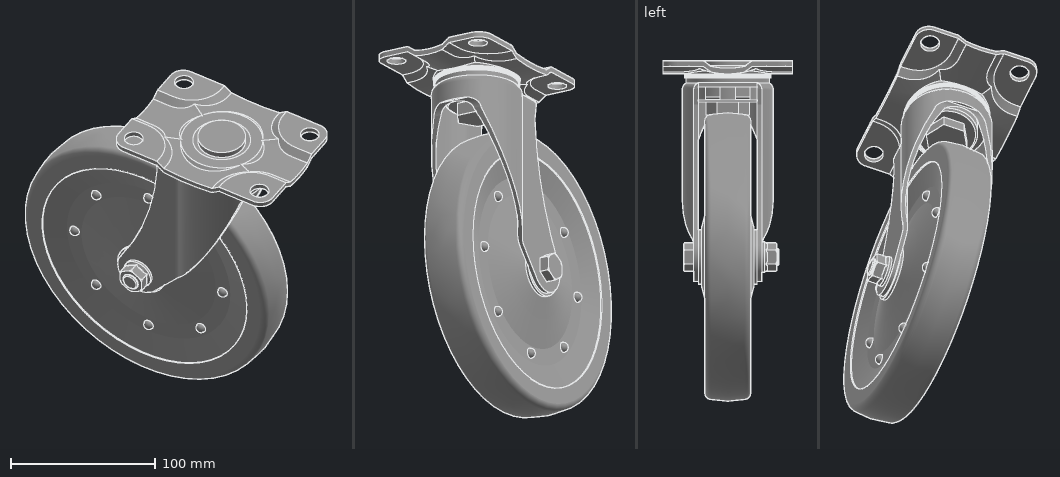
import cadquery as cq
import math

swivel_offset = 53.0
plate_top = 136.0

wheel_radius = 100.0
wheel_half_width = 16.0
tread_edge_radius = 98.8
tread_half_width = 11.7
side_outer_radius = 94.4
rim_radius = 83.0
rim_step = 0.9
web_outer_radius = 66.3
web_inner_radius = 54.5
web_half_width = 10.0
cone_radius = 34.4
cone_half_width = 14.7
shoulder_bulge = 0.8
hub_base_radius = 20.0
hub_base_half_width = 18.3
hub_radius = 19.0
rivet_count = 8
rivet_circle_radius = 60.0
rivet_radius = 3.6

leg_inner = 20.4
fork_wall = 3.2
leg_outer = leg_inner + fork_wall
shell_radius = 31.6
bend_radius = 7.0
leg_end_radius = 17.0
leg_rear_angle = 154.0
leg_front_angle = -43.0
leg_rear_curve_middle = (8.6, 64.0)
leg_rear_curve_top = (15.0, 105.4)
leg_rear_step = (13.3, 116.3)
leg_rear_top_x = 13.0
front_curve_start = (28.7, 7.0)
front_curve_middle = (61.2, 55.3)
front_curve_top = (78.0, 96.0)
nose_curve_middle = (79.6, 100.5)
nose_curve_end_x = 82.4
nose_bottom = 103.3
fork_top = 121.0
fork_top_fillet = 5.0
neck_radius = 29.0
neck_top = 124.1
cup_radius = 21.5
cup_bottom = 107.4
cup_chamfer = 1.5
lug_offset = 10.3
lug_width = 10.2
lug_bottom = 109.0
lug_reach = 2.5
lug_chamfer = 1.7
tongue_rear = 10.5
tongue_thickness = 3.0
prism_rear = -30.0
edge_margin = 1.0

plate_length = 125.0
plate_width = 90.0
plate_corner_radius = 10.0
plate_thickness = 4.0
pad_height = 4.0
pad_length = 37.3
pad_width = 28.0
pad_corner_radius = 24.0
pad_ramp = 5.7
pad_root = 1.0
valley_sag = 1.2
valley_depth = 3.8
hole_spacing_x = 102.0
hole_spacing_y = 67.0
hole_diameter = 13.0
boss_radius = 31.3
boss_top_radius = 28.5
boss_height = 1.8
pin_head_radius = 16.5
groove_radius = 20.0
groove_depth = 1.2
seal_radius = 30.0
seal_lip_count = 4
seal_lip_depth = 0.8
kingpin_radius = 12.0
kingpin_hex_corner_radius = 15.2
kingpin_bottom = 98.5
floor_edge = plate_top - pad_height
floor_top = floor_edge - valley_sag
floor_bottom = floor_top - plate_thickness

bolt_radius = 6.0
bolt_end = 35.5
bolt_end_chamfer = 0.8
hex_corner_radius = 10.0
head_height = 7.0
hex_chamfer = 0.8
flange_radius = 10.7
flange_rim = 1.8
flange_height = 3.8
nut_height = 10.4


def cylinder_z(radius, bottom, top):
    """Vertical cylinder on the swivel axis."""
    return (
        cq.Workplane("XY", origin=(swivel_offset, 0, bottom))
        .circle(radius)
        .extrude(top - bottom)
    )


def cylinder_y(radius, start, end):
    """Cylinder on the wheel axle between two Y positions."""
    return cq.Workplane("XZ", origin=(0, start, 0)).circle(radius).extrude(start - end)


def hexagon_y(start, end):
    """Hexagon on the wheel axle, corners up and down, its end edge rounded off by a chamfered cylinder."""
    hexagon = (
        cq.Workplane("XZ", origin=(0, start, 0))
        .polygon(6, 2 * hex_corner_radius)
        .extrude(start - end)
        .rotate((0, 0, 0), (0, 1, 0), 90)
    )
    outer_face = ">Y" if end > start else "<Y"
    envelope = cylinder_y(hex_corner_radius, start, end).faces(outer_face).chamfer(hex_chamfer)
    return hexagon.intersect(envelope)


def make_wheel():
    """Solid wheel turned about the Y axis, with a ring of domed rivets on each side."""
    one_side = [
        (bolt_radius, leg_inner),
        (hub_radius, leg_inner),
        (hub_radius, hub_base_half_width),
        (hub_base_radius, hub_base_half_width),
        (cone_radius, cone_half_width),
        (web_inner_radius, web_half_width),
        (web_outer_radius, web_half_width),
        (rim_radius, wheel_half_width - rim_step),
        (rim_radius, wheel_half_width),
        (side_outer_radius, wheel_half_width),
    ]
    other_side = [(radius, -y) for radius, y in reversed(one_side)]
    shoulder_mid_radius = (side_outer_radius + tread_edge_radius) / 2 + shoulder_bulge
    shoulder_mid_y = (wheel_half_width + tread_half_width) / 2 + shoulder_bulge
    wheel = (
        cq.Workplane("XY")
        .polyline(one_side)
        .threePointArc((shoulder_mid_radius, shoulder_mid_y), (tread_edge_radius, tread_half_width))
        .threePointArc((wheel_radius, 0), (tread_edge_radius, -tread_half_width))
        .threePointArc((shoulder_mid_radius, -shoulder_mid_y), other_side[0])
        .polyline(other_side[1:], includeCurrent=True)
        .close()
        .revolve(360, (0, 0, 0), (0, 1, 0))
    )
    for side in (-1, 1):
        for index in range(rivet_count):
            angle = 2 * math.pi * index / rivet_count
            center = (
                rivet_circle_radius * math.cos(angle),
                side * web_half_width,
                rivet_circle_radius * math.sin(angle),
            )
            wheel = wheel.union(cq.Workplane("XY").sphere(rivet_radius).translate(center))
    return wheel


def plan_prism(half_width, radius, bend, bottom, top):
    """Keyhole-shaped prism: straight legs running back from a round front, with bent transitions."""
    leg_length = swivel_offset - prism_rear
    legs = (
        cq.Workplane("XY", origin=(swivel_offset - leg_length / 2, 0, bottom))
        .rect(leg_length, 2 * half_width)
        .extrude(top - bottom)
    )
    prism = legs.union(cylinder_z(radius, bottom, top))
    joint_x = swivel_offset - math.sqrt(radius**2 - half_width**2)
    joint = cq.selectors.BoxSelector(
        (joint_x - edge_margin, -half_width - edge_margin, bottom - edge_margin),
        (joint_x + edge_margin, half_width + edge_margin, top + edge_margin),
    )
    return prism.edges("|Z").edges(joint).fillet(bend)


def fork_side_profile():
    """Side outline of the fork in XZ, extruded across the whole width."""
    rear_angle = math.radians(leg_rear_angle)
    front_angle = math.radians(leg_front_angle)
    rear_start = (leg_end_radius * math.cos(rear_angle), leg_end_radius * math.sin(rear_angle))
    front_start = (leg_end_radius * math.cos(front_angle), leg_end_radius * math.sin(front_angle))
    nose_x = swivel_offset + shell_radius
    return (
        cq.Workplane("XZ", origin=(0, shell_radius, 0))
        .moveTo(*rear_start)
        .threePointArc((0, -leg_end_radius), front_start)
        .lineTo(*front_curve_start)
        .threePointArc(front_curve_middle, front_curve_top)
        .threePointArc(nose_curve_middle, (nose_curve_end_x, nose_bottom))
        .lineTo(nose_x, nose_bottom)
        .lineTo(nose_x, fork_top)
        .lineTo(leg_rear_top_x, fork_top)
        .lineTo(*leg_rear_step)
        .lineTo(*leg_rear_curve_top)
        .threePointArc(leg_rear_curve_middle, rear_start)
        .close()
        .extrude(2 * shell_radius)
    )


def make_fork():
    """Bent sheet fork with a roof, a bearing neck above it and a bearing cup below it."""
    bottom = -leg_end_radius
    outer = plan_prism(leg_outer, shell_radius, bend_radius, bottom, fork_top)
    outer = outer.faces(">Z").edges().fillet(fork_top_fillet)
    inner = plan_prism(
        leg_inner, shell_radius - fork_wall, bend_radius + fork_wall, bottom, fork_top - fork_wall
    )
    fork = outer.cut(inner).intersect(fork_side_profile())

    tongue_length = swivel_offset - tongue_rear
    tongue = cq.Workplane("XY").box(
        tongue_length, 2 * leg_inner, tongue_thickness, centered=(False, True, False)
    )
    fork = fork.union(tongue.translate((tongue_rear, 0, fork_top - fork_wall)))

    fork = fork.union(cylinder_z(neck_radius, fork_top - fork_wall, neck_top))
    cup = cylinder_z(cup_radius, cup_bottom, fork_top).faces("<Z").chamfer(cup_chamfer)
    fork = fork.union(cup)
    lug_radius = cup_radius + lug_reach
    lug_ring = cylinder_z(lug_radius, lug_bottom, fork_top - fork_wall).faces("<Z").chamfer(lug_chamfer)
    for side in (-1, 1):
        rear_sector = cq.Workplane("XY").box(lug_radius, lug_width, 2 * fork_top)
        sector_place = (swivel_offset - lug_radius / 2, side * lug_offset, 0)
        fork = fork.union(lug_ring.intersect(rear_sector.translate(sector_place)))
    fork = fork.cut(cylinder_z(kingpin_radius, cup_bottom, neck_top))
    return fork.cut(cylinder_y(bolt_radius, -leg_outer, leg_outer))


def corner_pad(side_x, side_y, top):
    """Corner pad centred on a plate corner, its ramps carried down by pad_root into the floor."""
    height = pad_height + pad_root
    ramp = pad_ramp * height / pad_height
    return (
        cq.Workplane("XY", origin=(side_x * plate_length / 2, side_y * plate_width / 2, top - height))
        .sketch()
        .rect(2 * (pad_length + ramp), 2 * (pad_width + ramp))
        .vertices()
        .fillet(pad_corner_radius + ramp)
        .finalize()
        .extrude(height, taper=math.degrees(math.atan2(ramp, height)))
    )


def below_valley(plane, ramp_foot, floor_height):
    """Block under a round valley that lies on the floor height and rises by valley_sag at the ramp foot."""
    arc_radius = (ramp_foot**2 + valley_sag**2) / (2 * valley_sag)
    rim_half_width = math.sqrt(arc_radius**2 - (arc_radius - valley_depth) ** 2)
    rim_height = floor_height + valley_depth
    return (
        cq.Workplane(plane)
        .moveTo(-plate_length, 0)
        .lineTo(plate_length, 0)
        .lineTo(plate_length, rim_height)
        .lineTo(rim_half_width, rim_height)
        .threePointArc((0, floor_height), (-rim_half_width, rim_height))
        .lineTo(-plate_length, rim_height)
        .close()
        .extrude(plate_length, both=True)
    )


def below_crossed_valleys(floor_height):
    """Block under two crossing valleys, one along X and one along Y."""
    foot_x = plate_length / 2 - pad_length - pad_ramp
    foot_y = plate_width / 2 - pad_width - pad_ramp
    along_x = below_valley("YZ", foot_y, floor_height)
    along_y = below_valley("XZ", foot_x, floor_height)
    return along_x.intersect(along_y)


def make_plate():
    """Pressed plate with four raised corner pads, carrying the swivel head and kingpin."""
    slab = (
        cq.Workplane("XY", origin=(0, 0, floor_bottom))
        .rect(plate_length, plate_width)
        .extrude(plate_top - floor_bottom)
        .edges("|Z")
        .fillet(plate_corner_radius)
    )
    upper = below_crossed_valleys(floor_top)
    lower = below_crossed_valleys(floor_bottom)
    for side_x in (-1, 1):
        for side_y in (-1, 1):
            upper = upper.union(corner_pad(side_x, side_y, plate_top))
            lower = lower.union(corner_pad(side_x, side_y, plate_top - plate_thickness))
    plate = upper.cut(lower)
    plate = plate.intersect(slab)
    plate = plate.cut(
        cq.Workplane("XY", origin=(0, 0, floor_bottom))
        .rect(hole_spacing_x, hole_spacing_y, forConstruction=True)
        .vertices()
        .circle(hole_diameter / 2)
        .extrude(plate_top - floor_bottom)
    )
    return plate.translate((swivel_offset, 0, 0)).union(make_swivel_head())


def make_swivel_head():
    """Boss, pin head, groove, lipped seal ring and kingpin as one body turned about the swivel axis."""
    boss_top = floor_top + boss_height
    lip_pitch = (floor_bottom - neck_top) / seal_lip_count
    outline = (
        cq.Workplane("XZ", origin=(swivel_offset, 0, 0))
        .moveTo(0, plate_top)
        .lineTo(pin_head_radius, plate_top)
        .lineTo(pin_head_radius, boss_top - groove_depth)
        .lineTo(groove_radius, boss_top)
        .lineTo(boss_top_radius, boss_top)
        .lineTo(boss_radius, floor_top)
        .lineTo(seal_radius, floor_bottom)
    )
    for lip in range(seal_lip_count):
        lip_top = floor_bottom - lip * lip_pitch
        outline = outline.lineTo(seal_radius - seal_lip_depth, lip_top - lip_pitch / 2)
        outline = outline.lineTo(seal_radius, lip_top - lip_pitch)
    head = (
        outline.lineTo(kingpin_radius, neck_top)
        .lineTo(kingpin_radius, cup_bottom)
        .lineTo(0, cup_bottom)
        .close()
        .revolve(360, (0, 0, 0), (0, 1, 0))
    )
    hexagon = (
        cq.Workplane("XY", origin=(swivel_offset, 0, kingpin_bottom))
        .transformed(rotate=(0, 0, 90))
        .polygon(6, 2 * kingpin_hex_corner_radius)
        .extrude(cup_bottom - kingpin_bottom)
    )
    return head.union(hexagon)


def make_bolt():
    """Axle bolt with its hexagon head against the +Y leg."""
    shank = cylinder_y(bolt_radius, leg_outer, -bolt_end).faces("<Y").chamfer(bolt_end_chamfer)
    return shank.union(hexagon_y(leg_outer, leg_outer + head_height))


def make_nut():
    """Flange nut clamped against the -Y leg."""
    flange = (
        cq.Workplane("XY")
        .moveTo(0, -leg_outer)
        .lineTo(flange_radius, -leg_outer)
        .lineTo(flange_radius, -leg_outer - flange_rim)
        .lineTo(hex_corner_radius - hex_chamfer, -leg_outer - flange_height)
        .lineTo(0, -leg_outer - flange_height)
        .close()
        .revolve(360, (0, 0, 0), (0, 1, 0))
    )
    nut = flange.union(hexagon_y(-leg_outer, -leg_outer - nut_height))
    return nut.cut(cylinder_y(bolt_radius, -leg_outer, -bolt_end))


wheel = make_wheel()
fork = make_fork()
plate = make_plate()
bolt = make_bolt()
nut = make_nut()

result = cq.Compound.makeCompound(
    [wheel.val(), fork.val(), plate.val(), bolt.val(), nut.val()]
)